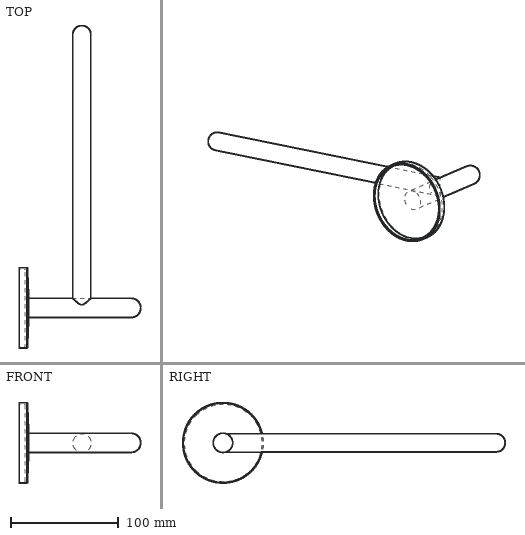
import cadquery as cq

flange_radius = 37.5
flange_rim_width = 7.2
flange_edge_chamfer = 0.5
flange_thickness = 9.0
recess_radius = 36.0
recess_depth = 5.5

post_radius = 9.0
post_tip_x = 113.0

arm_diameter = 17.0
arm_radius = arm_diameter / 2
arm_center_x = 58.2
overall_length = 300.0
arm_tip_y = overall_length - flange_radius


def make_round_ended_rod(radius, length):
    """Rod along +Y from the origin, flat at the start and hemispherical at the tip."""
    shoulder = length - radius
    cylinder = cq.Workplane("XZ").circle(radius).extrude(-shoulder)
    tip = cq.Workplane("XY").sphere(radius).translate((0, shoulder, 0))
    return cylinder.union(tip)


def make_flange():
    """
    Disc with a chamfered edge, a slightly conical front face
    and a round recess in its back.
    """
    half_section = (
        cq.Workplane("XY")
        .moveTo(0, recess_radius)
        .lineTo(0, flange_radius)
        .lineTo(flange_rim_width, flange_radius)
        .lineTo(flange_rim_width + flange_edge_chamfer, flange_radius - flange_edge_chamfer)
        .lineTo(flange_thickness, post_radius)
        .lineTo(flange_thickness, 0)
        .lineTo(recess_depth, 0)
        .lineTo(recess_depth, recess_radius)
        .close()
    )
    return half_section.revolve(360, (0, 0, 0), (1, 0, 0))


def make_post():
    """Round-ended rod turned to point along +X, seated on the flat centre of the flange."""
    rod = make_round_ended_rod(post_radius, post_tip_x - flange_thickness)
    return rod.rotate((0, 0, 0), (0, 0, 1), -90).translate((flange_thickness, 0, 0))


def make_arm(post):
    """Round-ended rod along +Y, with its start saddled onto the post."""
    rod = make_round_ended_rod(arm_radius, arm_tip_y).translate((arm_center_x, 0, 0))
    return rod.cut(post)


flange = make_flange()
post = make_post()
arm = make_arm(post)

result = cq.Compound.makeCompound([body.solids().val() for body in (flange, post, arm)])